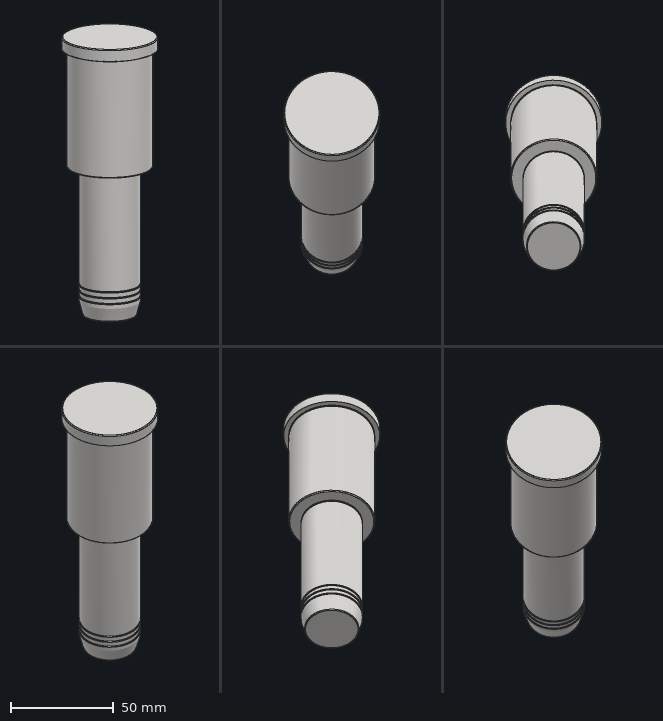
import cadquery as cq

total_length = 141.0
head_radius = 23.48
head_thickness = 6.0
body_radius = 21.0
body_bottom = 75.0
shank_radius = 15.02

edge_chamfer = 0.5
undercut_width = 0.8
undercut_depth = 0.3

tip_radius = 13.3
taper_height = 7.0
tip_chamfer = 0.4
groove_count = 3
groove_pitch = 3.0
groove_width = 0.7
groove_depth = 0.4
first_groove_center = 9.6

head_bottom = total_length - head_thickness


def cylinder(radius, bottom, top):
    return cq.Workplane("XY").workplane(offset=bottom).circle(radius).extrude(top - bottom)


def ring_cut(radius, depth, bottom, width):
    """Ring that removes a shallow band from a cylinder of the given radius."""
    outer = cylinder(radius + depth, bottom, bottom + width)
    return outer.cut(cylinder(radius - depth, bottom, bottom + width))


def v_ring_cut(radius, depth, bottom, width):
    """Ring with a V-shaped section that opens onto a cylinder of the given radius."""
    return (
        cq.Workplane("XZ")
        .moveTo(radius, bottom)
        .lineTo(radius - depth, bottom + width / 2)
        .lineTo(radius, bottom + width)
        .close()
        .revolve(360, (0, 0, 0), (0, 1, 0))
    )


def make_tip():
    """Conical lead-in with a small chamfer around its end face."""
    return (
        cq.Workplane("XZ")
        .moveTo(0, 0)
        .lineTo(tip_radius - tip_chamfer, 0)
        .lineTo(tip_radius, tip_chamfer)
        .lineTo(shank_radius, taper_height)
        .lineTo(0, taper_height)
        .close()
        .revolve(360, (0, 0, 0), (0, 1, 0))
    )


head = cylinder(head_radius, head_bottom, total_length).faces(">Z").edges().chamfer(edge_chamfer)
body = cylinder(body_radius, body_bottom, head_bottom).faces("<Z").edges().chamfer(edge_chamfer)
shank = cylinder(shank_radius, taper_height, body_bottom)

body = body.cut(v_ring_cut(body_radius, undercut_depth, head_bottom - undercut_width, undercut_width))
shank = shank.cut(ring_cut(shank_radius, undercut_depth, body_bottom - undercut_width, undercut_width))

for index in range(groove_count):
    groove_bottom = first_groove_center + index * groove_pitch - groove_width / 2
    shank = shank.cut(v_ring_cut(shank_radius, groove_depth, groove_bottom, groove_width))

result = make_tip().union(shank).union(body).union(head)